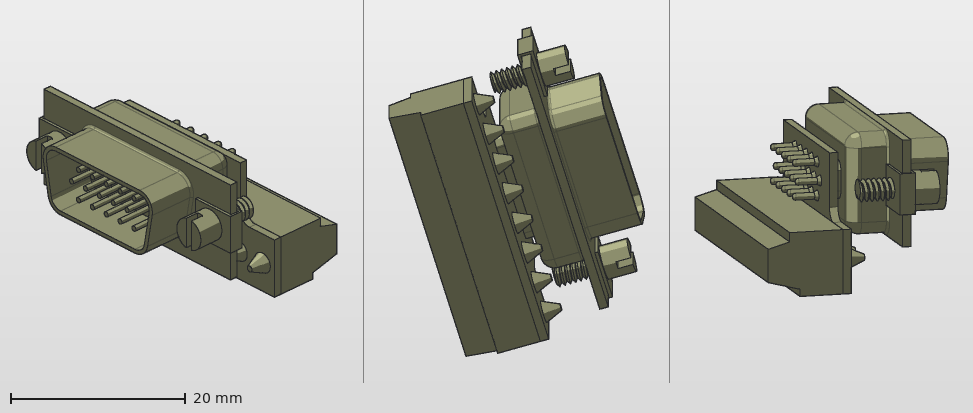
import cadquery as cq
import math


total_length = 31.62
total_height = 17.61
mating_end_y = -13.34
overlap = 0.2

block_length = 30.6
block_top = 7.54
block_back_y = 9.90
block_nose_bottom = 1.84
block_nose_top = 5.74
block_top_step_y = 7.34
block_top_step_z = 6.46
block_bottom_step_y = 6.10
block_bottom_step_z = 0.85

board_thickness = 1.0
board_top = 15.38
board_upper_width = 19.34
board_corner_radius = 1.5

cone_count = 8
cone_pitch = 3.81
cone_z = 3.75
cone_length = 2.05
cone_base_radius = 1.28
cone_tip_radius = 0.38

flange_width = 30.8
flange_height = 12.5
flange_thickness = 1.02
flange_back_y = -6.06
flange_front_y = flange_back_y - flange_thickness
flange_bottom = total_height - flange_height
axis_z = flange_bottom + flange_height / 2
root_radius = 0.3

rear_shell_width = 19.4
rear_shell_margin = 0.305
rear_shell_height = flange_height - 2 * rear_shell_margin
rear_shell_corner_radius = 1.6
rear_shell_edge_radius = 1.57
rear_shell_back_y = -1.25
insulator_width = 13.0
insulator_height = 4.5
insulator_corner_radius = 1.05

shell_top = 15.91
shell_height = 8.6
shell_half_width = 9.02
shell_corner_radius = 2.1
shell_wall = 0.52
shell_lean = math.radians(10)
cavity_floor_y = flange_front_y

pins_per_row = 5
pin_pitch = 2.29
row_pitch = 1.98
pin_radius = 0.33
pin_front_y = -12.0
tail_radius = 0.4
tail_back_y = 3.93
tail_tip_radius = 0.3
solder_height = 0.42
solder_radius = 0.64

clip_outer_x = total_length / 2
clip_inner_x = 10.03
clip_height = 4.83
clip_front_y = -7.47
clip_back_y = -5.62
clip_slot_outer_x = 15.52
clip_back_gap = 0.12
screw_x = 12.4
head_radius = 1.985
head_front_y = -10.8
slot_width = 0.86
slot_depth = 1.78
thread_end_y = -1.6
thread_pitch = 0.635
thread_core_radius = 0.93
thread_outer_radius = 1.32
thread_root_width = 0.98 * thread_pitch
thread_root_depth = 0.05
thread_lead_in = 1.5 * thread_pitch


def box_between(x0, x1, y0, y1, z0, z1):
    return cq.Workplane("XY").box(x1 - x0, y1 - y0, z1 - z0, centered=False).translate((x0, y0, z0))


def rod(x, z, radius, y0, y1):
    """Cylinder along Y from y0 up to y1."""
    return cq.Workplane(cq.Solid.makeCylinder(radius, y1 - y0, cq.Vector(x, y0, z), cq.Vector(0, 1, 0)))


def cone(x, z, y0, length, radius0, radius1):
    """Cone along Y that starts at y0 with radius0; a negative length points it toward -Y."""
    direction = cq.Vector(0, math.copysign(1, length), 0)
    return cq.Workplane(cq.Solid.makeCone(radius0, radius1, abs(length), cq.Vector(x, y0, z), direction))


def rounded_bar(width, height, corner_radius, y0, y1):
    """Bar along Y, centred on the connector axis, with its four long edges rounded."""
    bar = box_between(-width / 2, width / 2, y0, y1, axis_z - height / 2, axis_z + height / 2)
    return bar.edges("|Y").fillet(corner_radius)


def d_prism(inset, y0, y1):
    """D-shaped bar along Y, drawn in from the outside of the mating shell by the inset."""
    radius = shell_corner_radius - inset
    upper_x = shell_half_width - shell_corner_radius
    upper_z = shell_top - shell_corner_radius
    lower_z = shell_top - shell_height + shell_corner_radius
    lower_x = upper_x - (upper_z - lower_z) * math.tan(shell_lean)

    def on_arc(cx, cz, angle):
        return (cx + radius * math.cos(angle), cz + radius * math.sin(angle))

    def mirrored(point):
        return (-point[0], point[1])

    upper_end = on_arc(upper_x, upper_z, -shell_lean)
    upper_mid = on_arc(upper_x, upper_z, (math.pi / 2 - shell_lean) / 2)
    upper_start = on_arc(upper_x, upper_z, math.pi / 2)
    lower_start = on_arc(lower_x, lower_z, -shell_lean)
    lower_mid = on_arc(lower_x, lower_z, -(math.pi / 2 + shell_lean) / 2)
    lower_end = on_arc(lower_x, lower_z, -math.pi / 2)
    return (
        cq.Workplane("XZ", origin=(0, y1, 0))
        .moveTo(*mirrored(upper_start))
        .lineTo(*upper_start)
        .threePointArc(upper_mid, upper_end)
        .lineTo(*lower_start)
        .threePointArc(lower_mid, lower_end)
        .lineTo(*mirrored(lower_end))
        .threePointArc(mirrored(lower_mid), mirrored(lower_start))
        .lineTo(*mirrored(upper_end))
        .threePointArc(mirrored(upper_mid), mirrored(upper_start))
        .close()
        .extrude(y1 - y0)
    )


def make_terminal_block():
    profile = [
        (board_thickness, 0),
        (block_bottom_step_y, 0),
        (block_bottom_step_y, block_bottom_step_z),
        (block_back_y, block_nose_bottom),
        (block_back_y, block_nose_top),
        (block_top_step_y, block_top_step_z),
        (block_top_step_y, block_top),
        (board_thickness, block_top),
    ]
    return cq.Workplane("YZ").polyline(profile).close().extrude(block_length / 2, both=True)


def make_board():
    half_lower = block_length / 2
    half_upper = board_upper_width / 2
    lower = box_between(-half_lower, half_lower, 0, board_thickness, 0, block_top)
    upper = box_between(-half_upper, half_upper, 0, board_thickness, 0, board_top)
    inner_corners = cq.selectors.BoxSelector(
        (-half_upper - overlap, -overlap, block_top - overlap),
        (half_upper + overlap, board_thickness + overlap, block_top + overlap),
    )
    board = lower.union(upper).edges("|Y").edges(inner_corners).fillet(board_corner_radius)
    for i in range(cone_count):
        x = (i - (cone_count - 1) / 2) * cone_pitch
        board = board.union(cone(x, cone_z, 0, -cone_length, cone_base_radius, cone_tip_radius))
    return board


def make_shells():
    """Flange with the rear shell, the insulator and the hollow mating shell."""
    flange = box_between(
        -flange_width / 2, flange_width / 2, flange_front_y, flange_back_y, flange_bottom, total_height
    )
    rear_shell = rounded_bar(
        rear_shell_width, rear_shell_height, rear_shell_corner_radius, flange_back_y, rear_shell_back_y
    )
    rear_shell = rear_shell.faces(">Y").edges().fillet(rear_shell_edge_radius)
    mating_shell = d_prism(0, mating_end_y, flange_front_y)
    shells = flange.union(rear_shell).union(mating_shell)

    root_half_width = rear_shell_width / 2 + overlap
    for y in (flange_front_y, flange_back_y):
        root_edges = cq.selectors.BoxSelector(
            (-root_half_width, y - overlap, flange_bottom + overlap),
            (root_half_width, y + overlap, total_height - overlap),
            boundingbox=False,
        )
        shells = shells.edges(root_edges).fillet(root_radius)

    insulator = rounded_bar(
        insulator_width, insulator_height, insulator_corner_radius, rear_shell_back_y - overlap, 0
    )
    cavity = d_prism(shell_wall, mating_end_y, cavity_floor_y)
    return shells.union(insulator).cut(cavity)


def make_pin(x, z):
    """Contact in the mating shell, and its tail behind the board with a solder collar."""
    contact = rod(x, z, pin_radius, pin_front_y, cavity_floor_y + overlap)
    tail = rod(x, z, tail_radius, board_thickness - overlap, tail_back_y)
    tail = tail.faces(">Y").edges().fillet(tail_tip_radius)
    solder = cone(x, z, board_thickness, solder_height, solder_radius, tail_radius)
    return contact, tail.union(solder)


def pin_positions():
    positions = []
    for row in (-1, 0, 1):
        shift = -pin_pitch / 2 if row == 0 else 0
        for i in range(pins_per_row):
            x = (i - (pins_per_row - 1) / 2) * pin_pitch + shift
            positions.append((x, axis_z + row * row_pitch))
    return positions


def make_thread(x):
    """Helical ridge around the screw core, trimmed flat at both ends."""
    start_y = clip_back_y - thread_lead_in
    length = thread_end_y - start_y + thread_pitch
    helix = cq.Wire.makeHelix(thread_pitch, length, thread_core_radius)
    sunk_radius = thread_core_radius - thread_root_depth
    ridge = (
        cq.Workplane("XZ")
        .polyline([
            (sunk_radius, -thread_root_width / 2),
            (thread_outer_radius, 0),
            (sunk_radius, thread_root_width / 2),
        ])
        .close()
        .sweep(cq.Workplane(helix), isFrenet=True)
        .rotate((0, 0, 0), (1, 0, 0), -90)
        .translate((x, start_y, axis_z))
    )
    reach = 2 * thread_outer_radius
    kept = rod(x, axis_z, reach, clip_back_y - overlap, thread_end_y)
    return ridge.intersect(kept)


def make_clip_and_screw():
    """Clip on the -X end of the flange with its slotted, threaded screw."""
    z0 = axis_z - clip_height / 2
    z1 = axis_z + clip_height / 2
    slot_back_y = flange_back_y + clip_back_gap
    clip = box_between(-clip_outer_x, -clip_inner_x, clip_front_y, clip_back_y, z0, z1)
    flange_slot = box_between(-clip_slot_outer_x, -clip_inner_x, flange_front_y, slot_back_y, z0, z1)

    head = rod(-screw_x, axis_z, head_radius, head_front_y, clip_front_y)
    driver_slot = box_between(
        -screw_x - slot_width / 2, -screw_x + slot_width / 2,
        head_front_y, head_front_y + slot_depth,
        axis_z - head_radius, axis_z + head_radius,
    )
    core = rod(-screw_x, axis_z, thread_core_radius, clip_front_y, thread_end_y)
    screw = head.cut(driver_slot).union(core).union(make_thread(-screw_x))
    return clip.cut(flange_slot).union(screw)


def make_connector():
    connector = make_shells().union(make_board())
    for x, z in pin_positions():
        contact, tail = make_pin(x, z)
        connector = connector.union(contact).union(tail)
    clip_and_screw = make_clip_and_screw()
    return connector.union(clip_and_screw).union(clip_and_screw.mirror("YZ"))


terminal_block = make_terminal_block()
connector = make_connector()
result = cq.Compound.makeCompound([terminal_block.val(), *connector.solids().vals()])